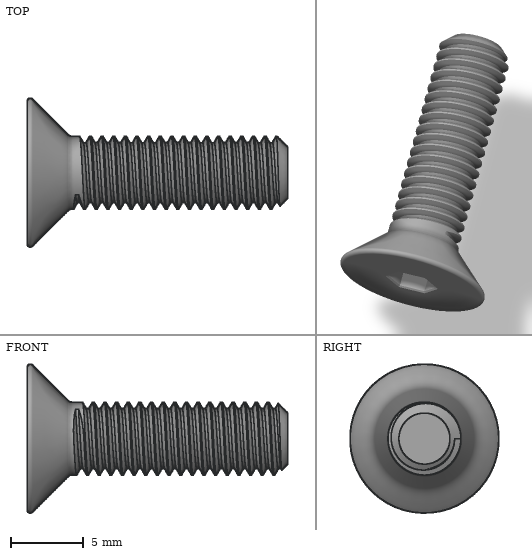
import cadquery as cq
import math

LENGTH = 17.9
HEAD_RADIUS = 5.12
RIM_RADIUS = 0.21
NECK_FILLET = 0.35
SHANK_RADIUS = 2.5
TIP_CHAMFER = 0.75

SOCKET_FLATS = 3.0
SOCKET_DEPTH = 2.15
SOCKET_CHAMFER = 0.1

SHANK_TURNS = 16
SHANK_TURNS_LENGTH = 12.8
PITCH = SHANK_TURNS_LENGTH / SHANK_TURNS
CREST_FLAT = PITCH / 8
ROOT_FLAT = PITCH / 4
THREAD_ANGLE = 60.0
FLANK_SLOPE = math.tan(math.radians(THREAD_ANGLE / 2))
THREAD_DEPTH = (PITCH - CREST_FLAT - ROOT_FLAT) / 2 / FLANK_SLOPE
ROOT_RADIUS = SHANK_RADIUS - THREAD_DEPTH
GROOVE_START_X = 3.55
GROOVE_START_ANGLE = 180.0
TIP_TURNS = 1.5
RUNOUT_ANGLE = 53.0
RUNOUT_SECTIONS = 6
CUT_CLEARANCE = 0.05


def make_blank():
    """Countersunk head and plain shank, without socket or thread."""
    diagonal = RIM_RADIUS * math.sqrt(0.5)
    arc_center_radius = HEAD_RADIUS - RIM_RADIUS
    cone_start = RIM_RADIUS + diagonal
    cone_start_radius = arc_center_radius + diagonal
    cone_end = cone_start + cone_start_radius - SHANK_RADIUS
    blank = (
        cq.Workplane("XY")
        .moveTo(0, 0)
        .lineTo(0, arc_center_radius)
        .threePointArc((RIM_RADIUS, HEAD_RADIUS), (cone_start, cone_start_radius))
        .lineTo(cone_end, SHANK_RADIUS)
        .lineTo(LENGTH - TIP_CHAMFER, SHANK_RADIUS)
        .lineTo(LENGTH, SHANK_RADIUS - TIP_CHAMFER)
        .lineTo(LENGTH, 0)
        .close()
        .revolve(360, (0, 0, 0), (1, 0, 0))
    )
    margin = NECK_FILLET / 10
    neck = cq.selectors.BoxSelector(
        (cone_end - margin, -HEAD_RADIUS, -HEAD_RADIUS),
        (cone_end + margin, HEAD_RADIUS, HEAD_RADIUS),
        boundingbox=True,
    )
    return blank.edges(neck).fillet(NECK_FILLET)


def make_socket():
    """Hexagonal cutter with corners on the Y axis and a flared mouth."""
    corner_ratio = 1 / math.cos(math.radians(30))
    corner_diameter = SOCKET_FLATS * corner_ratio
    mouth_diameter = (SOCKET_FLATS + 2 * SOCKET_CHAMFER) * corner_ratio
    socket = cq.Workplane("YZ").polygon(6, corner_diameter).extrude(SOCKET_DEPTH)
    mouth = (
        cq.Workplane("YZ")
        .polygon(6, mouth_diameter)
        .workplane(offset=SOCKET_CHAMFER)
        .polygon(6, corner_diameter)
        .loft(ruled=True)
    )
    return socket.union(mouth)


def groove_section(angle, lift=0.0):
    """Trapezoidal groove wire at a thread angle, its root raised by lift."""
    center_x = GROOVE_START_X + PITCH * (angle - GROOVE_START_ANGLE) / 360
    root_half = ROOT_FLAT / 2
    height = THREAD_DEPTH + CUT_CLEARANCE
    top_half = root_half + height * FLANK_SLOPE
    radians = math.radians(angle)
    outward = cq.Vector(0, math.cos(radians), math.sin(radians))
    root = outward * (ROOT_RADIUS + lift)
    top = outward * (ROOT_RADIUS + lift + height)
    corners = [
        root + cq.Vector(center_x - root_half, 0, 0),
        root + cq.Vector(center_x + root_half, 0, 0),
        top + cq.Vector(center_x + top_half, 0, 0),
        top + cq.Vector(center_x - top_half, 0, 0),
    ]
    return cq.Wire.makePolygon(corners, close=True)


def make_groove(first_turn, turns):
    """Helical groove cutter spanning the given turns of the thread."""
    helix = cq.Wire.makeHelix(PITCH, turns * PITCH, ROOT_RADIUS)
    helix = helix.rotate(cq.Vector(0, 0, 0), cq.Vector(0, 1, 0), 90)
    helix = helix.rotate(cq.Vector(0, 0, 0), cq.Vector(1, 0, 0), GROOVE_START_ANGLE + 90)
    helix = helix.translate(cq.Vector(GROOVE_START_X, 0, 0))
    groove = cq.Solid.sweep(groove_section(GROOVE_START_ANGLE), [], helix, True, True)
    return groove.translate(cq.Vector(first_turn * PITCH, 0, 0))


def make_runout():
    """Groove beginning that curves up from full depth to the shank surface."""
    sections = []
    for index in range(RUNOUT_SECTIONS + 1):
        fraction = index / RUNOUT_SECTIONS
        angle = GROOVE_START_ANGLE - RUNOUT_ANGLE * fraction
        sections.append(groove_section(angle, THREAD_DEPTH * fraction**2))
    return cq.Solid.makeLoft(sections)


result = make_blank().cut(make_socket())
result = result.cut(cq.Workplane(make_groove(0, SHANK_TURNS)))
result = result.cut(cq.Workplane(make_groove(SHANK_TURNS, TIP_TURNS)))
result = result.cut(cq.Workplane(make_runout()))